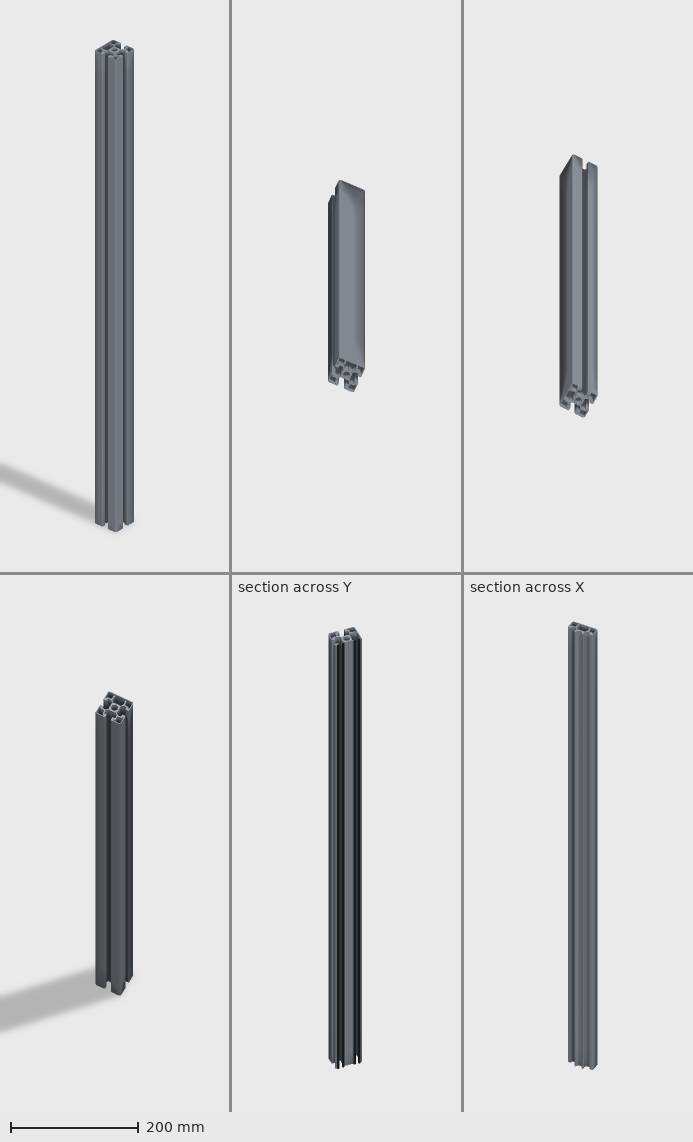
import cadquery as cq

SIDE = 45.0
LENGTH = 861.0
CORNER_RADIUS = 3.0
SKIN = 1.2
HALF_SIDE = SIDE / 2
SKIN_INSIDE = HALF_SIDE - SKIN

MOUTH_WIDTH = 10.3
MOUTH_CHAMFER = 0.9
NOSE_DEPTH = 4.3
NOSE_RELIEF = 0.2

LIP_THICKNESS = 6.0
UNDERCUT_WIDTH = 19.2
TAPER_START = 11.2
CLOSED_CHANNEL_WIDTH = 17.4

FLOOR_PEAK = 8.05
FLOOR_DROP = 1.0
FLOOR_WIDTH = 13.0
FLOOR_BULGE = 0.05
GROOVE_WIDTH = 2.5
GROOVE_DEPTH = 1.3

BORE_DIAMETER = 10.45
HOLLOW_INSIDE = 11.5
HOLLOW_CHAMFER = 1.0
HOLLOW_ARM_WIDTH = 2.2
HOLLOW_ARM_END = 9.05

OPEN_SIDES = (0, 90, 270)
CLOSED_SIDE = 180


def turned(body, angle):
    return body.rotate((0, 0, 0), (0, 0, 1), angle)


def prism(points):
    return cq.Workplane("XY").polyline(points).close().extrude(LENGTH)


def mirrored_prism(upper_points):
    """Full-length prism whose outline is symmetric about the X axis."""
    lower_points = [(x, -y) for x, y in reversed(upper_points)]
    return prism(upper_points + lower_points)


def undercut():
    """Wide part of a slot on the +X side, from the lips down to the grooved floor."""
    outer = HALF_SIDE - LIP_THICKNESS
    side = UNDERCUT_WIDTH / 2
    floor_side = FLOOR_WIDTH / 2
    floor_edge = FLOOR_PEAK - FLOOR_DROP
    groove_side = GROOVE_WIDTH / 2
    arc_x = (FLOOR_PEAK + floor_edge) / 2 + FLOOR_BULGE
    arc_y = (groove_side + floor_side) / 2
    return (
        cq.Workplane("XY")
        .moveTo(outer, side)
        .lineTo(TAPER_START, side)
        .lineTo(floor_edge, floor_side)
        .threePointArc((arc_x, arc_y), (FLOOR_PEAK, groove_side))
        .lineTo(FLOOR_PEAK - GROOVE_DEPTH, 0)
        .lineTo(FLOOR_PEAK, -groove_side)
        .threePointArc((arc_x, -arc_y), (floor_edge, -floor_side))
        .lineTo(TAPER_START, -side)
        .lineTo(outer, -side)
        .close()
        .extrude(LENGTH)
    )


def mouth():
    """Opening between the two lips of a slot on the +X side."""
    side = MOUTH_WIDTH / 2
    relief_side = side + NOSE_RELIEF
    nose_inside = HALF_SIDE - NOSE_DEPTH
    return mirrored_prism([
        (TAPER_START, relief_side),
        (nose_inside, relief_side),
        (nose_inside, side),
        (HALF_SIDE - MOUTH_CHAMFER, side),
        (HALF_SIDE, side + MOUTH_CHAMFER),
    ])


def closed_channel():
    """Widening of the undercut up to the thin skin of the closed side."""
    side = CLOSED_CHANNEL_WIDTH / 2
    return mirrored_prism([(TAPER_START, side), (SKIN_INSIDE, side)])


def corner_hollow():
    """Hollow of the +X+Y corner, with an arm reaching along each outer face."""
    arm_inside = SKIN_INSIDE - HOLLOW_ARM_WIDTH
    chamfer_end = HOLLOW_INSIDE + HOLLOW_CHAMFER
    return prism([
        (chamfer_end, HOLLOW_INSIDE),
        (arm_inside, HOLLOW_INSIDE),
        (arm_inside, HOLLOW_ARM_END),
        (SKIN_INSIDE, HOLLOW_ARM_END),
        (SKIN_INSIDE, SKIN_INSIDE),
        (HOLLOW_ARM_END, SKIN_INSIDE),
        (HOLLOW_ARM_END, arm_inside),
        (HOLLOW_INSIDE, arm_inside),
        (HOLLOW_INSIDE, chamfer_end),
    ])


def bore():
    return cq.Workplane("XY").circle(BORE_DIAMETER / 2).extrude(LENGTH)


profile = cq.Workplane("XY").rect(SIDE, SIDE).extrude(LENGTH)
profile = profile.edges("|Z").fillet(CORNER_RADIUS)
for side_angle in OPEN_SIDES:
    profile = profile.cut(turned(undercut().union(mouth()), side_angle))
profile = profile.cut(turned(undercut().union(closed_channel()), CLOSED_SIDE))
for corner in range(4):
    profile = profile.cut(turned(corner_hollow(), corner * 90))
result = profile.cut(bore())